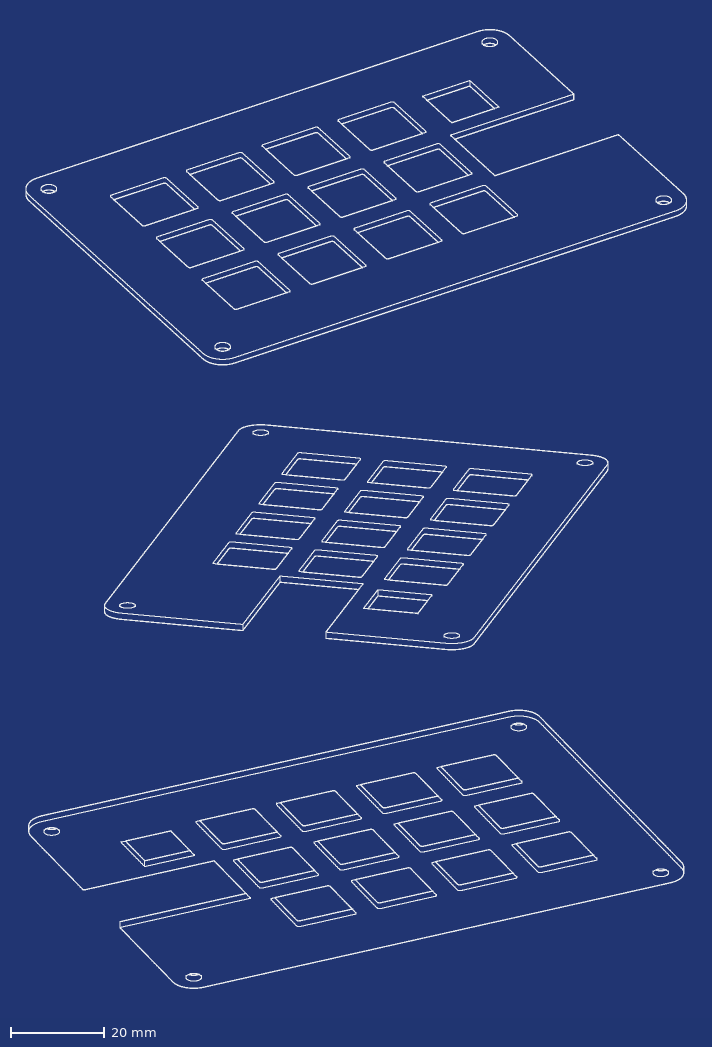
import cadquery as cq

plate_width = 82.0
plate_length = 120.5
plate_thickness = 1.5
corner_radius = 5.0

screw_diameter = 3.4
screw_inset = corner_radius

key_size = 14.0
key_pitch = 19.0
key_columns = 3
key_rows = 4
key_corner_radius = 0.5
key_grid_x = -1.0
key_grid_y = -10.0

window_width = 12.0
window_length = 11.8
window_x = -19.4
window_y = 38.0

notch_width = 18.4
notch_depth = 31.0
notch_x = -0.1


def through_box(width, length, x, y):
    """Box through the full plate thickness, centred at (x, y)."""
    box = cq.Workplane("XY").box(width, length, plate_thickness, centered=(True, True, False))
    return box.translate((x, y, 0))


def make_plate():
    plate = through_box(plate_width, plate_length, 0, 0)
    return plate.edges("|Z").fillet(corner_radius)


def cut_screw_holes(body):
    spacing_x = plate_width - 2 * screw_inset
    spacing_y = plate_length - 2 * screw_inset
    top = body.faces(">Z").workplane(origin=(0, 0, 0))
    return top.rarray(spacing_x, spacing_y, 2, 2).hole(screw_diameter)


def cut_key_openings(body):
    key = through_box(key_size, key_size, 0, 0).edges("|Z").fillet(key_corner_radius)
    for column in range(key_columns):
        x = key_grid_x + (column - (key_columns - 1) / 2) * key_pitch
        for row in range(key_rows):
            y = key_grid_y + (row - (key_rows - 1) / 2) * key_pitch
            body = body.cut(key.translate((x, y, 0)))
    return body


def cut_window(body):
    return body.cut(through_box(window_width, window_length, window_x, window_y))


def cut_notch(body):
    notch_y = (plate_length - notch_depth) / 2
    return body.cut(through_box(notch_width, notch_depth, notch_x, notch_y))


result = make_plate()
result = cut_screw_holes(result)
result = cut_key_openings(result)
result = cut_window(result)
result = cut_notch(result)